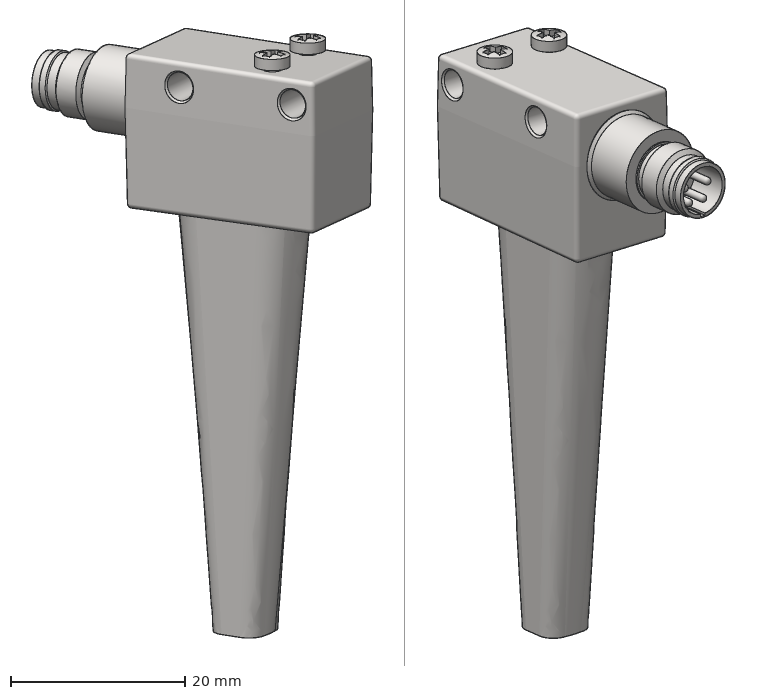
import cadquery as cq
import math


HOUSING_LENGTH = 25.3
HOUSING_WIDTH = 13.9
HOUSING_TOP = 6.35
HOUSING_BOTTOM = -12.05
UPPER_DRAFT = 1
LOWER_DRAFT = 1
BOTTOM_SLOPE = 0.8
EDGE_RADIUS = 0.55
ROOT_OVERLAP = 0.7

HOLE_XS = (7.4, 22.3)
HOLE_Z = 3.45
HOLE_DIAMETER = 3.4
HOLE_CHAMFER = 0.3

CONNECTOR_LENGTH = 14.2
CONNECTOR_Z = -0.2
BARREL_DIAMETER = 10.1
BARREL_LENGTH = 6.55
FLARE_DIAMETER = 10.85
FLARE_LENGTH = 0.35
NECK_DIAMETER = 6.7
SHOULDER_DIAMETER = 7.2
SHOULDER_LENGTH = 0.2
COLLAR_DIAMETER = 7.9
COLLAR_START = 8.0
COLLAR_END = 11.05
COLLAR_BACK_CHAMFER = 0.35
COLLAR_FRONT_CHAMFER = 0.4
RIDGE_DIAMETER = 7.05
RIDGE_START = 12.2
RIDGE_END = 13.1
RIDGE_CHAMFER = 0.15

SOCKET_DIAMETER = 5.8
SOCKET_DEPTH = 4.9
PIN_DIAMETER = 0.9
PIN_TIP_RADIUS = 0.4
PIN_RECESS = 0.85
UPPER_PIN_Y = 1.7
UPPER_PIN_Z = 0.35
LOWER_PIN_Y = 1.05
LOWER_PIN_Z = -1.6
KEYWAY_WIDTH = 0.6
KEYWAY_DEPTH = 0.25

SCREW_X = 18.1
SCREW_SPACING = 8.1
SHANK_DIAMETER = 2.1
HEAD_DIAMETER = 4.1
HEAD_GAP = 0.4
HEAD_RIM_HEIGHT = 1.35
HEAD_DOME_HEIGHT = 0.31
RECESS_LENGTH = 2.8
RECESS_WIDTH = 0.9
RECESS_DEPTH = 0.85

BOOT_X = 12.05
BOOT_TIP_X = 12.2
BOOT_TIP_Z = -62.05
BOOT_LENGTH = 16.35
BOOT_WIDTH = 8.3
BOOT_SIDE_FLAT = 8.0
BOOT_END_WIDTH = 5.55
BOOT_END_BULGE = 1.1
TIP_SIZE = 6.6
TIP_FLAT = 2.4
TIP_END_BULGE = 0.1


def housing_half(height, draft):
    """Drafted block growing from the parting plane, rounded except on that plane."""
    half = (
        cq.Workplane("XY")
        .center(HOUSING_LENGTH / 2, 0)
        .rect(HOUSING_LENGTH, HOUSING_WIDTH)
        .extrude(height, taper=draft)
    )
    if height < 0:
        half = half.cut(bottom_wedge())
    parting_face = "<Z" if height > 0 else ">Z"
    return half.edges(f"not({parting_face})").fillet(EDGE_RADIUS)


def bottom_z(x):
    """Height of the sloping housing bottom at x."""
    return HOUSING_BOTTOM + x * math.tan(math.radians(BOTTOM_SLOPE))


def bottom_wedge():
    """Material below the sloping bottom plane."""
    wedge_floor = HOUSING_BOTTOM - HOUSING_WIDTH
    return (
        cq.Workplane("XZ")
        .polyline([
            (0, HOUSING_BOTTOM),
            (HOUSING_LENGTH, bottom_z(HOUSING_LENGTH)),
            (HOUSING_LENGTH, wedge_floor),
            (0, wedge_floor),
        ])
        .close()
        .extrude(HOUSING_WIDTH / 2, both=True)
    )


def cross_holes():
    """Two through holes along Y, chamfered at both mouths."""
    mouth_y = HOUSING_WIDTH / 2
    radius = HOLE_DIAMETER / 2
    profile = [
        (0, -mouth_y),
        (radius + HOLE_CHAMFER, -mouth_y),
        (radius, HOLE_CHAMFER - mouth_y),
        (radius, mouth_y - HOLE_CHAMFER),
        (radius + HOLE_CHAMFER, mouth_y),
        (0, mouth_y),
    ]
    hole = cq.Workplane("XY").polyline(profile).close().revolve(360, (0, 0), (0, 1))
    holes = cq.Workplane("XY")
    for x in HOLE_XS:
        holes = holes.add(hole.translate((x, 0, HOLE_Z)))
    return holes.combine()


def connector_shell():
    """Stepped barrel turned about the X axis, rooted inside the housing."""
    stations = [
        (-ROOT_OVERLAP, FLARE_DIAMETER),
        (0, FLARE_DIAMETER),
        (FLARE_LENGTH, BARREL_DIAMETER),
        (BARREL_LENGTH, BARREL_DIAMETER),
        (BARREL_LENGTH, SHOULDER_DIAMETER),
        (BARREL_LENGTH + SHOULDER_LENGTH, SHOULDER_DIAMETER),
        (BARREL_LENGTH + SHOULDER_LENGTH, NECK_DIAMETER),
        (COLLAR_START - COLLAR_BACK_CHAMFER, NECK_DIAMETER),
        (COLLAR_START, COLLAR_DIAMETER),
        (COLLAR_END - COLLAR_FRONT_CHAMFER, COLLAR_DIAMETER),
        (COLLAR_END, NECK_DIAMETER),
        (RIDGE_START, NECK_DIAMETER),
        (RIDGE_START + RIDGE_CHAMFER, RIDGE_DIAMETER),
        (RIDGE_END, RIDGE_DIAMETER),
        (RIDGE_END + RIDGE_CHAMFER, NECK_DIAMETER),
        (CONNECTOR_LENGTH, NECK_DIAMETER),
    ]
    outline = [(-ROOT_OVERLAP, 0)] + [(s, d / 2) for s, d in stations] + [(CONNECTOR_LENGTH, 0)]
    return (
        cq.Workplane("XY")
        .polyline([(-s, r) for s, r in outline])
        .close()
        .revolve(360, (0, 0), (1, 0))
    )


def socket_floor():
    """Plane of the socket floor, facing out of the connector, with local x along -Y and local y along Z."""
    floor_x = SOCKET_DEPTH - CONNECTOR_LENGTH
    return cq.Workplane(cq.Plane((floor_x, 0, 0), xDir=(0, -1, 0), normal=(-1, 0, 0)))


def connector():
    """Connector with its socket, four contact pins and polarising keyway."""
    socket = socket_floor().circle(SOCKET_DIAMETER / 2).extrude(SOCKET_DEPTH)
    pins = (
        socket_floor()
        .pushPoints([
            (-UPPER_PIN_Y, UPPER_PIN_Z),
            (UPPER_PIN_Y, UPPER_PIN_Z),
            (-LOWER_PIN_Y, LOWER_PIN_Z),
            (LOWER_PIN_Y, LOWER_PIN_Z),
        ])
        .circle(PIN_DIAMETER / 2)
        .extrude(SOCKET_DEPTH - PIN_RECESS)
        .faces("<X")
        .edges()
        .fillet(PIN_TIP_RADIUS)
    )
    keyway = (
        socket_floor()
        .center(0, -SOCKET_DIAMETER / 2)
        .rect(KEYWAY_WIDTH, 2 * KEYWAY_DEPTH)
        .extrude(SOCKET_DEPTH)
    )
    shell = connector_shell().cut(socket).cut(keyway)
    return shell.union(pins).translate((0, 0, CONNECTOR_Z))


def screw():
    """Pan-head screw on the Z axis, standing on the housing top."""
    rim_bottom = HOUSING_TOP + HEAD_GAP
    rim_top = rim_bottom + HEAD_RIM_HEIGHT
    dome_top = rim_top + HEAD_DOME_HEIGHT
    head_radius = HEAD_DIAMETER / 2
    shank_root = HOUSING_TOP - ROOT_OVERLAP
    dome_radius = (head_radius**2 + HEAD_DOME_HEIGHT**2) / (2 * HEAD_DOME_HEIGHT)
    dome_mid_x = head_radius / 2
    dome_mid_z = dome_top - dome_radius + math.sqrt(dome_radius**2 - dome_mid_x**2)
    body = (
        cq.Workplane("XZ")
        .moveTo(0, shank_root)
        .lineTo(SHANK_DIAMETER / 2, shank_root)
        .lineTo(SHANK_DIAMETER / 2, rim_bottom)
        .lineTo(head_radius, rim_bottom)
        .lineTo(head_radius, rim_top)
        .threePointArc((dome_mid_x, dome_mid_z), (0, dome_top))
        .close()
        .revolve(360, (0, 0), (0, 1))
    )
    recess = cq.Workplane("XY").workplane(offset=dome_top - RECESS_DEPTH)
    slot_x = recess.rect(RECESS_LENGTH, RECESS_WIDTH).extrude(RECESS_DEPTH)
    slot_y = recess.rect(RECESS_WIDTH, RECESS_LENGTH).extrude(RECESS_DEPTH)
    return body.cut(slot_x).cut(slot_y)


def make_housing():
    """Housing block with connector, cross holes and screws as one solid."""
    body = housing_half(HOUSING_TOP, UPPER_DRAFT)
    body = body.union(housing_half(HOUSING_BOTTOM, LOWER_DRAFT))
    body = body.union(connector()).cut(cross_holes())
    for side in (-1, 1):
        body = body.union(screw().translate((SCREW_X, side * SCREW_SPACING / 2, 0)))
    return body.solids()


def boot_section(x, z, length, width, side_flat, end_width, end_bulge):
    """Closed outline with two flat sides, bowed ends and round corners."""
    flat = side_flat / 2
    side = width / 2
    corner_x = length / 2 - end_bulge
    corner_y = end_width / 2
    run = corner_x - flat
    drop = side - corner_y
    radius = (run**2 + drop**2) / (2 * drop)
    half_turn = math.asin(run / radius) / 2
    mid_x = flat + radius * math.sin(half_turn)
    mid_y = side - radius * (1 - math.cos(half_turn))
    return (
        cq.Workplane("XY", origin=(x, 0, z))
        .moveTo(-flat, side)
        .lineTo(flat, side)
        .threePointArc((mid_x, mid_y), (corner_x, corner_y))
        .threePointArc((length / 2, 0), (corner_x, -corner_y))
        .threePointArc((mid_x, -mid_y), (flat, -side))
        .lineTo(-flat, -side)
        .threePointArc((-mid_x, -mid_y), (-corner_x, -corner_y))
        .threePointArc((-length / 2, 0), (-corner_x, corner_y))
        .threePointArc((-mid_x, mid_y), (-flat, side))
        .close()
        .val()
    )


def make_boot():
    """Straight taper from an oval top to a rounded square tip."""
    top_z = bottom_z(BOOT_X - BOOT_LENGTH / 2)
    top = boot_section(
        BOOT_X, top_z, BOOT_LENGTH, BOOT_WIDTH, BOOT_SIDE_FLAT, BOOT_END_WIDTH, BOOT_END_BULGE
    )
    tip = boot_section(
        BOOT_TIP_X, BOOT_TIP_Z, TIP_SIZE, TIP_SIZE, TIP_FLAT, TIP_FLAT, TIP_END_BULGE
    )
    return cq.Workplane(cq.Solid.makeLoft([top, tip], ruled=True))


housing = make_housing()
boot = make_boot()
result = cq.Compound.makeCompound([housing.val(), boot.val()])